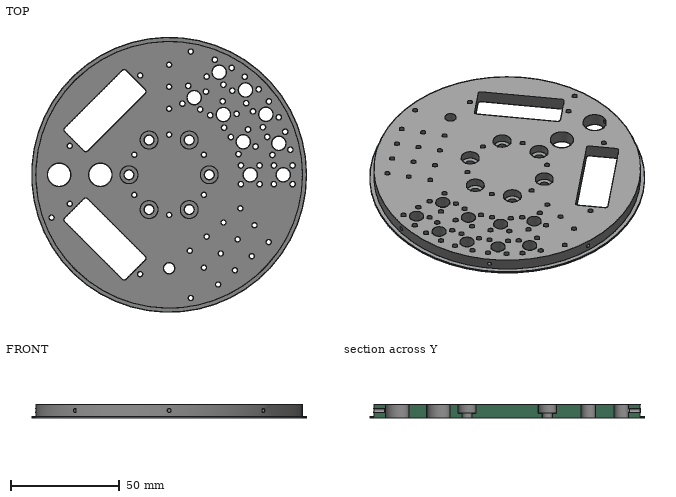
import cadquery as cq
import math

flange_diameter = 127.0
flange_thickness = 0.8
body_diameter = 123.2
total_height = 6.4

ring_radius = 18.5
ring_count = 6
mount_diameter = 4.5
counterbore_diameter = 8.3
counterbore_depth = 4.1

screw_diameter = 2.3
center_line_pitch = 10.2
center_line_rows = (3, 4, 5)
rim_screw_radius = 57.8
rim_screw_angles = (80, -80, -160)

cluster_diameter = 6.5
pin_diameter = 2.4
pin_offset = 4.3
outer_cluster_radius = 52.7
outer_cluster_step = 16
outer_cluster_count = 5
inner_cluster_radius = 37.5
inner_cluster_step = 24
inner_cluster_count = 4

grid_pitch = 10.2
grid_rows = 3
grid_columns = 4
grid_radius = 43.2
grid_angle = -50

window_radius = 41.9
window_angles = (135, -135)
window_length = 40.0
window_width = 15.0
window_corner_radius = 1.3
window_screw_spacing = 46.0

cable_diameter = 10.7
cable_points = [(-50.8, 0), (-31.8, 0)]
switch_diameter = 5.1
switch_radius = 43.2

side_hole_diameter = 1.8
side_hole_count = 8
side_hole_height = 3.5
side_hole_depth = 5.1
side_hole_overrun = 1.3


def polar(radius, angle):
    """Point at a radius and an angle in degrees."""
    return (radius * math.cos(math.radians(angle)), radius * math.sin(math.radians(angle)))


def placed(points, radius, angle):
    """Points given as (radial, tangential) offsets from a polar position."""
    moved = []
    for radial, tangential in points:
        x, y = polar(radius + radial, angle)
        dx, dy = polar(tangential, angle + 90)
        moved.append((x + dx, y + dy))
    return moved


def cylinders(points, diameter, bottom=0.0):
    """Vertical cutters from a given height up to the top face."""
    plane = cq.Workplane("XY").workplane(offset=bottom)
    return plane.pushPoints(points).circle(diameter / 2).extrude(total_height - bottom)


def make_disc():
    flange = cq.Workplane("XY").circle(flange_diameter / 2).extrude(flange_thickness)
    body = cq.Workplane("XY").circle(body_diameter / 2).extrude(total_height)
    return flange.union(body)


def cut_mounting_ring(part):
    step = 360 / ring_count
    points = [polar(ring_radius, i * step) for i in range(ring_count)]
    part = part.cut(cylinders(points, mount_diameter))
    return part.cut(cylinders(points, counterbore_diameter, total_height - counterbore_depth))


def cut_screw_holes(part):
    step = 360 / ring_count
    points = [polar(ring_radius, (i + 0.5) * step) for i in range(ring_count)]
    points += [(0, row * center_line_pitch) for row in center_line_rows]
    points += [polar(rim_screw_radius, angle) for angle in rim_screw_angles]
    grid = [
        ((row - (grid_rows - 1) / 2) * grid_pitch, (column - (grid_columns - 1) / 2) * grid_pitch)
        for row in range(grid_rows)
        for column in range(grid_columns)
    ]
    points += placed(grid, grid_radius, grid_angle)
    return part.cut(cylinders(points, screw_diameter))


def cut_cluster_row(part, radius, step, count):
    pins = [(i * pin_offset, j * pin_offset) for i in (-1, 1) for j in (-1, 1)]
    angles = [i * step for i in range(count)]
    centers = [polar(radius, angle) for angle in angles]
    pin_points = [point for angle in angles for point in placed(pins, radius, angle)]
    return part.cut(cylinders(centers, cluster_diameter)).cut(cylinders(pin_points, pin_diameter))


def cut_windows(part):
    screws = [(0, -window_screw_spacing / 2), (0, window_screw_spacing / 2)]
    for angle in window_angles:
        window = (
            cq.Workplane("XY")
            .rect(window_width, window_length)
            .extrude(total_height)
            .edges("|Z")
            .fillet(window_corner_radius)
            .translate((window_radius, 0, 0))
            .rotate((0, 0, 0), (0, 0, 1), angle)
        )
        part = part.cut(window)
        part = part.cut(cylinders(placed(screws, window_radius, angle), screw_diameter))
    return part


def cut_single_holes(part):
    part = part.cut(cylinders(cable_points, cable_diameter))
    return part.cut(cylinders([(0, -switch_radius)], switch_diameter))


def cut_side_holes(part):
    inner_radius = body_diameter / 2 - side_hole_depth
    cutter = (
        cq.Workplane("YZ")
        .workplane(offset=inner_radius)
        .center(0, side_hole_height)
        .circle(side_hole_diameter / 2)
        .extrude(side_hole_depth + side_hole_overrun)
    )
    for i in range(side_hole_count):
        part = part.cut(cutter.rotate((0, 0, 0), (0, 0, 1), i * 360 / side_hole_count))
    return part


result = make_disc()
result = cut_mounting_ring(result)
result = cut_screw_holes(result)
result = cut_cluster_row(result, outer_cluster_radius, outer_cluster_step, outer_cluster_count)
result = cut_cluster_row(result, inner_cluster_radius, inner_cluster_step, inner_cluster_count)
result = cut_windows(result)
result = cut_single_holes(result)
result = cut_side_holes(result)